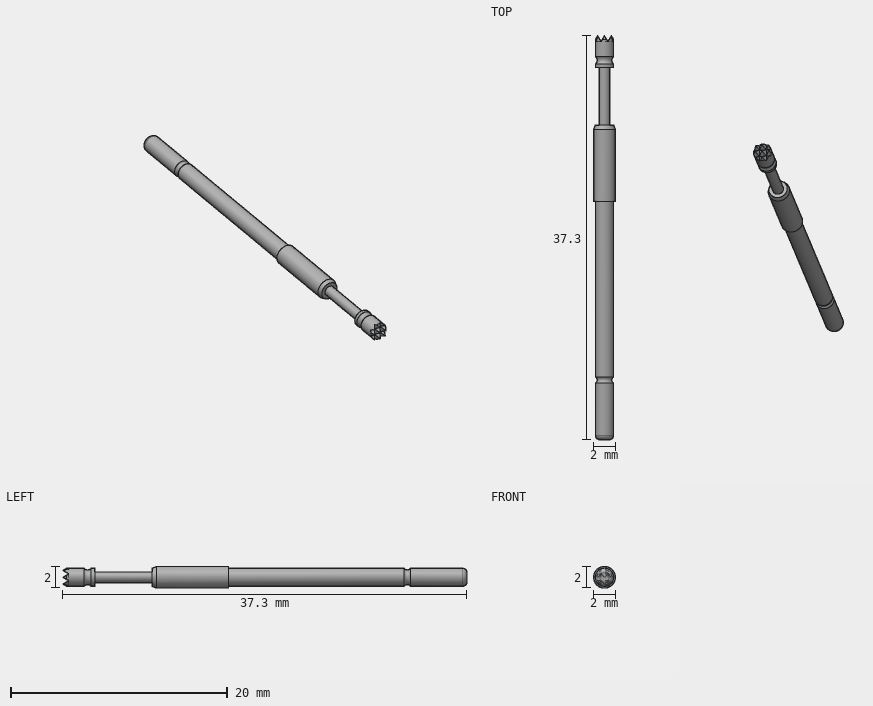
import cadquery as cq

length = 37.3
tip_y = length / 2

head_dia = 1.68
stem_dia = 1.0
sleeve_dia = 2.0
tube_dia = head_dia

head_end = 2.95
sleeve_start = 8.25
sleeve_end = 15.3

cone_length = 0.4
cone_dia = 1.7

head_groove_station = 2.28
head_groove_width = 0.67
tube_groove_station = 31.78
tube_groove_width = 0.55
groove_depth = 0.15

tail_radius = 0.4

tooth_pitch = 0.65
tooth_depth = 0.52
teeth_per_row = 3


def cylinder(diameter, start, end):
    """Cylinder on the Y axis between two stations."""
    plane = cq.Workplane("XZ", origin=(0, tip_y - start, 0))
    return plane.circle(diameter / 2).extrude(end - start)


def sleeve():
    """Widest section, with a conical front end."""
    front_y = tip_y - sleeve_start
    back_y = tip_y - sleeve_end
    profile = (
        cq.Workplane("XY")
        .moveTo(0, front_y)
        .lineTo(cone_dia / 2, front_y)
        .lineTo(sleeve_dia / 2, front_y - cone_length)
        .lineTo(sleeve_dia / 2, back_y)
        .lineTo(0, back_y)
        .close()
    )
    return profile.revolve(360, (0, 0, 0), (0, 1, 0))


def groove(diameter, station, width):
    """Ring that cuts a groove with an arc-shaped section."""
    mid_y = tip_y - station
    outer = diameter / 2
    profile = (
        cq.Workplane("XY")
        .moveTo(outer, mid_y + width / 2)
        .threePointArc((outer - groove_depth, mid_y), (outer, mid_y - width / 2))
        .lineTo(outer + groove_depth, mid_y - width / 2)
        .lineTo(outer + groove_depth, mid_y + width / 2)
        .close()
    )
    return profile.revolve(360, (0, 0, 0), (0, 1, 0))


def toothed_bar():
    """Bar along Z whose +Y end is a row of V-shaped teeth spread along X."""
    half_width = teeth_per_row * tooth_pitch / 2
    root_y = tip_y - tooth_depth
    profile = cq.Workplane("XY").moveTo(-half_width, tip_y - head_end).lineTo(-half_width, root_y)
    for tooth in range(teeth_per_row):
        left_root = -half_width + tooth * tooth_pitch
        profile = profile.lineTo(left_root + tooth_pitch / 2, tip_y).lineTo(left_root + tooth_pitch, root_y)
    profile = profile.lineTo(half_width, tip_y - head_end).close()
    return profile.extrude(head_dia, both=True)


def head():
    """Cylinder whose end carries a square grid of pyramid teeth."""
    bar = toothed_bar()
    crossed_bar = bar.rotate((0, 0, 0), (0, 1, 0), 90)
    return cylinder(head_dia, 0, head_end).intersect(bar).intersect(crossed_bar)


probe = (
    head()
    .union(cylinder(stem_dia, head_end, sleeve_start))
    .union(sleeve())
    .union(cylinder(tube_dia, sleeve_end, length).faces("<Y").edges().fillet(tail_radius))
)

probe = probe.cut(groove(head_dia, head_groove_station, head_groove_width))
probe = probe.cut(groove(tube_dia, tube_groove_station, tube_groove_width))

result = probe